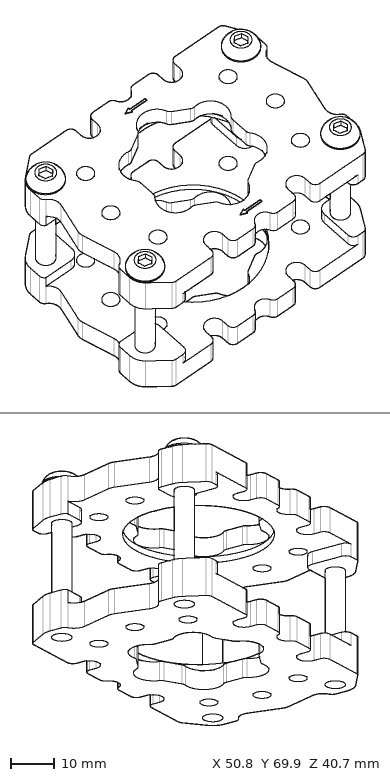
import cadquery as cq
import math

PLATE_X = 50.8
PLATE_Y = 69.85
STACK_HEIGHT = 38.1
PLATE_THICKNESS = 6.35
PAD_HEIGHT = 3.175
HALF_X = PLATE_X / 2
HALF_Y = PLATE_Y / 2

EDGE_RADIUS = 1.5875
BOSS_RADIUS = 3 * EDGE_RADIUS

SCREW_X = 17.4625
SCREW_Y = HALF_Y - BOSS_RADIUS
SHANK_DIAMETER = 4.76
HEAD_DIAMETER = 9.17
HEAD_HEIGHT = 2.57
HEAD_RIM_HEIGHT = 0.4
HEAD_FLAT_DIAMETER = 5.05
HEAD_BULGE = 0.4
SOCKET_ACROSS_FLATS = 3.175
SOCKET_DEPTH = 1.5
SOCKET_SIDES = 6
SOCKET_TURN = 45

BACK_CORNER_ANGLE = 30
FRONT_CORNER_ANGLE = 50

PEAK_SLOPE = 15
PEAK_RADIUS = 3.175
VALLEY_RADIUS = 3.175
VALLEY_X = 10.105

PAD_INNER_X = 12.9
PAD_INNER_CORNER_RADIUS = 2.54
BACK_PAD_REACH = 3.175
FRONT_PAD_REACH = 6.35

BOLT_CIRCLE_RADIUS = 25.4
SMALL_HOLE_DIAMETER = 4.2
SMALL_HOLE_ANGLES = (60, 90, 120, 240, 270, 300)
SLOT_WIDTH = 5.08
SLOT_ANGLES = (-30, 0, 30)

HEXAGON_APOTHEM = 14.2875
LOBE_COUNT = 6
LOBE_CENTER_RADIUS = 12.7
LOBE_RADIUS = 4.7625
RECESS_RADIUS = 17.6
RECESS_DEPTH = 1.5875

ARROW_X = 20.2
ARROW_LENGTH = 6.5
ARROW_SHAFT_WIDTH = 0.6
ARROW_HEAD_WIDTH = 1.5
ARROW_HEAD_LENGTH = 1.7
ARROW_DEPTH = 0.2

FULL_HEIGHT = PLATE_THICKNESS + PAD_HEIGHT
SIDES = (-1, 1)


def tangent(degrees):
    return math.tan(math.radians(degrees))


def cosine(degrees):
    return math.cos(math.radians(degrees))


def sine(degrees):
    return math.sin(math.radians(degrees))


def round_upright_edges(body, places, radius):
    """Fillet the vertical edges that stand at the given (x, y) places."""
    height = body.val().BoundingBox().zmax
    edges = body.newObject([])
    for x, y in places:
        edges = edges.add(body.edges("|Z").edges(cq.NearestToPointSelector((x, y, height / 2))))
    return edges.fillet(radius)


def mirrored_in_x(places):
    return [(side * x, y) for x, y in places for side in SIDES]


def polar_point(radius, degrees):
    return (radius * cosine(degrees), radius * sine(degrees))


PEAK_TIP_Y = HALF_Y + PEAK_RADIUS * (1 / cosine(PEAK_SLOPE) - 1)

VALLEY_Y = PEAK_TIP_Y - VALLEY_X * tangent(PEAK_SLOPE) + VALLEY_RADIUS / cosine(PEAK_SLOPE)
SLOPE_END_X = VALLEY_X - VALLEY_RADIUS * sine(PEAK_SLOPE)
SLOPE_END_Y = VALLEY_Y - VALLEY_RADIUS * cosine(PEAK_SLOPE)
SHOULDER_X = VALLEY_X + math.sqrt(VALLEY_RADIUS**2 - (VALLEY_Y - HALF_Y) ** 2)

BACK_CORNER_X = SCREW_X + BOSS_RADIUS * tangent(BACK_CORNER_ANGLE / 2)
BACK_CORNER_Y = HALF_Y - (HALF_X - BACK_CORNER_X) * tangent(BACK_CORNER_ANGLE)
FRONT_CORNER_X = SCREW_X + BOSS_RADIUS * tangent(FRONT_CORNER_ANGLE / 2)
FRONT_CORNER_Y = -HALF_Y + (HALF_X - FRONT_CORNER_X) * tangent(FRONT_CORNER_ANGLE)

SCREW_PLACES = mirrored_in_x([(SCREW_X, SCREW_Y), (SCREW_X, -SCREW_Y)])


def plate_outline():
    """Full-height block with the outside shape of a plate, before its edge slots."""
    right_side = [
        (0, -PEAK_TIP_Y),
        (SLOPE_END_X, -SLOPE_END_Y),
        (SLOPE_END_X, -HALF_Y),
        (FRONT_CORNER_X, -HALF_Y),
        (HALF_X, FRONT_CORNER_Y),
        (HALF_X, BACK_CORNER_Y),
        (BACK_CORNER_X, HALF_Y),
        (SLOPE_END_X, HALF_Y),
        (SLOPE_END_X, SLOPE_END_Y),
        (0, PEAK_TIP_Y),
    ]
    left_side = [(-x, y) for x, y in reversed(right_side[1:-1])]
    block = cq.Workplane().polyline(right_side + left_side).close().extrude(FULL_HEIGHT)

    valleys = mirrored_in_x([(VALLEY_X, VALLEY_Y), (VALLEY_X, -VALLEY_Y)])
    block = block.cut(cq.Workplane().pushPoints(valleys).circle(VALLEY_RADIUS).extrude(FULL_HEIGHT))

    peaks = [(0, PEAK_TIP_Y), (0, -PEAK_TIP_Y)]
    screw_corners = mirrored_in_x([(BACK_CORNER_X, HALF_Y), (FRONT_CORNER_X, -HALF_Y)])
    side_corners = mirrored_in_x([(HALF_X, BACK_CORNER_Y), (HALF_X, FRONT_CORNER_Y)])
    shoulders = mirrored_in_x([(SHOULDER_X, HALF_Y), (SHOULDER_X, -HALF_Y)])
    block = round_upright_edges(block, peaks, PEAK_RADIUS)
    block = round_upright_edges(block, screw_corners, BOSS_RADIUS)
    return round_upright_edges(block, side_corners + shoulders, EDGE_RADIUS)


def edge_slots(block):
    """Cut the round-ended slots into both long sides and round their mouths."""
    mouths = []
    for angle in SLOT_ANGLES:
        center_x, center_y = polar_point(BOLT_CIRCLE_RADIUS, angle)
        for side in SIDES:
            slot_end = cq.Workplane().center(side * center_x, center_y).circle(SLOT_WIDTH / 2)
            channel = cq.Workplane().center(side * (center_x + SLOT_WIDTH / 2), center_y)
            channel = channel.rect(SLOT_WIDTH, SLOT_WIDTH)
            block = block.cut(slot_end.extrude(FULL_HEIGHT)).cut(channel.extrude(FULL_HEIGHT))
        mouths += [(HALF_X, center_y + edge * SLOT_WIDTH / 2) for edge in SIDES]
    return round_upright_edges(block, mirrored_in_x(mouths), EDGE_RADIUS)


def pad_zone():
    """Space above the plate face that the four screw pads may fill."""
    zone = cq.Workplane()
    width = HALF_X - PAD_INNER_X
    for end, reach in ((1, BACK_PAD_REACH), (-1, FRONT_PAD_REACH)):
        length = HALF_Y - SCREW_Y + reach
        inner_y = end * (SCREW_Y - reach)
        center_y = end * (HALF_Y - length / 2)
        for side in SIDES:
            center_x = side * (HALF_X + PAD_INNER_X) / 2
            pad = cq.Workplane().center(center_x, center_y).rect(width, length).extrude(FULL_HEIGHT)
            pad = round_upright_edges(pad, [(side * HALF_X, inner_y)], EDGE_RADIUS)
            pad = round_upright_edges(pad, [(side * PAD_INNER_X, inner_y)], PAD_INNER_CORNER_RADIUS)
            zone = zone.add(pad)
    return zone.combine()


def central_opening():
    """Six-lobed opening through the plate, with a round recess on the pad face."""
    hexagon_diameter = 2 * HEXAGON_APOTHEM / cosine(180 / LOBE_COUNT)
    hexagon = cq.Workplane().polygon(LOBE_COUNT, hexagon_diameter)
    opening = hexagon.extrude(PLATE_THICKNESS)
    lobe = cq.Workplane().circle(LOBE_RADIUS).extrude(PLATE_THICKNESS)
    lobe = lobe.rotate((0, 0, 0), (0, 0, 1), 180).translate((LOBE_CENTER_RADIUS, 0, 0))
    for index in range(LOBE_COUNT):
        opening = opening.union(lobe.rotate((0, 0, 0), (0, 0, 1), index * 360 / LOBE_COUNT))
    opening = opening.edges("|Z").fillet(EDGE_RADIUS)
    recess_floor = cq.Workplane().workplane(offset=PLATE_THICKNESS - RECESS_DEPTH)
    return opening.union(recess_floor.circle(RECESS_RADIUS).extrude(RECESS_DEPTH))


def plate():
    """Plate with its plain face on Z = 0 and its pads pointing up."""
    full_block = edge_slots(plate_outline())
    web_zone = cq.Workplane().rect(2 * PLATE_X, 2 * PLATE_Y).extrude(PLATE_THICKNESS)
    body = full_block.intersect(web_zone.union(pad_zone()))
    small_holes = [polar_point(BOLT_CIRCLE_RADIUS, angle) for angle in SMALL_HOLE_ANGLES]
    for places, diameter in ((small_holes, SMALL_HOLE_DIAMETER), (SCREW_PLACES, SHANK_DIAMETER)):
        body = body.cut(cq.Workplane().pushPoints(places).circle(diameter / 2).extrude(FULL_HEIGHT))
    return body.cut(central_opening())


def engraved_arrows():
    """Two shallow arrows on the top face, pointing toward -Y."""
    half_shaft = ARROW_SHAFT_WIDTH / 2
    half_head = ARROW_HEAD_WIDTH / 2
    tip_y = -ARROW_LENGTH / 2
    neck_y = tip_y + ARROW_HEAD_LENGTH
    outline = [
        (0, tip_y),
        (half_head, neck_y),
        (half_shaft, neck_y),
        (half_shaft, -tip_y),
        (-half_shaft, -tip_y),
        (-half_shaft, neck_y),
        (-half_head, neck_y),
    ]
    arrow = cq.Workplane().polyline(outline).close().extrude(ARROW_DEPTH)
    floor_z = STACK_HEIGHT - ARROW_DEPTH
    return arrow.translate((-ARROW_X, 0, floor_z)).union(arrow.translate((ARROW_X, 0, floor_z)))


def screw():
    """Button-head screw on the Z axis; its shank runs through the whole stack."""
    shank_radius = SHANK_DIAMETER / 2
    head_radius = HEAD_DIAMETER / 2
    flat_radius = HEAD_FLAT_DIAMETER / 2
    rim_z = STACK_HEIGHT + HEAD_RIM_HEIGHT
    top_z = STACK_HEIGHT + HEAD_HEIGHT
    profile = (
        cq.Workplane("XZ")
        .lineTo(shank_radius, 0)
        .lineTo(shank_radius, STACK_HEIGHT)
        .lineTo(head_radius, STACK_HEIGHT)
        .lineTo(head_radius, rim_z)
        .sagittaArc((flat_radius, top_z), -HEAD_BULGE)
        .lineTo(0, top_z)
        .close()
    )
    body = profile.revolve(360, (0, 0, 0), (0, 1, 0))
    socket = (
        cq.Workplane()
        .workplane(offset=top_z - SOCKET_DEPTH)
        .polygon(SOCKET_SIDES, SOCKET_ACROSS_FLATS, circumscribed=True)
        .extrude(SOCKET_DEPTH)
        .rotate((0, 0, 0), (0, 0, 1), SOCKET_TURN)
    )
    return body.cut(socket)


lower_plate = plate()
upper_plate = lower_plate.mirror("XY").translate((0, 0, STACK_HEIGHT)).cut(engraved_arrows())
screws = [screw().translate((x, y, 0)) for x, y in SCREW_PLACES]

result = cq.Compound.makeCompound([lower_plate.val(), upper_plate.val(), *(one.val() for one in screws)])